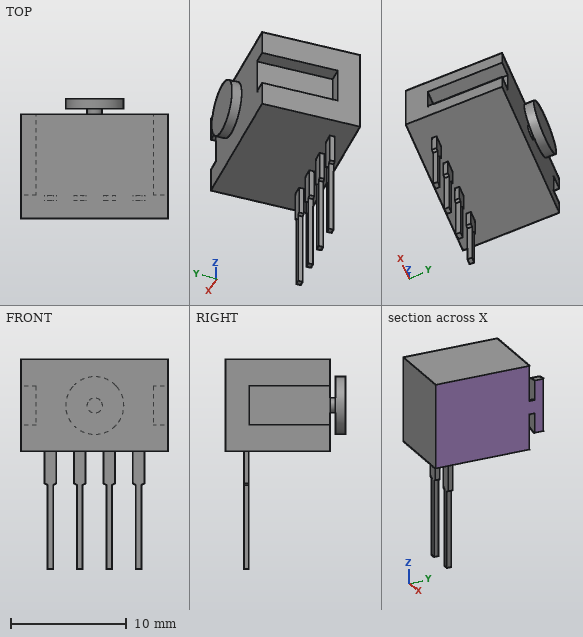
import cadquery as cq

body_width = 12.7
body_depth = 9.03
body_height = 7.98

recess_inset = 1.27
recess_height = 3.34
recess_front = 2.07

total_depth = 10.38
knob_diameter = 5.0
knob_thickness = 0.89
shaft_diameter = 1.3

lead_count = 4
lead_pitch = 2.54
lead_length = 18.14 - body_height
lead_thickness = 0.44
lead_front = 1.6
shoulder_width = 1.02
shoulder_length = 2.75
tip_width = 0.5
taper_length = 0.15


def make_housing():
    housing = cq.Workplane("XY").box(body_width, body_depth, body_height, centered=(True, False, False))
    recess_length = body_depth - recess_front
    for side in (-1, 1):
        cutter = (
            cq.Workplane("XY")
            .box(2 * recess_inset, recess_length, recess_height, centered=(True, False, True))
            .translate((side * body_width / 2, recess_front, body_height / 2))
        )
        housing = housing.cut(cutter)
    return housing


def make_knob():
    back_plane = cq.Workplane("XZ", origin=(0, body_depth, body_height / 2))
    shaft_length = total_depth - body_depth - knob_thickness
    shaft = back_plane.circle(shaft_diameter / 2).extrude(-shaft_length)
    disc = (
        back_plane.workplane(offset=-shaft_length)
        .circle(knob_diameter / 2)
        .extrude(-knob_thickness)
    )
    return shaft.union(disc)


def make_lead(x_center):
    half_shoulder = shoulder_width / 2
    half_tip = tip_width / 2
    taper_end = -shoulder_length - taper_length
    outline = [
        (-half_shoulder, 0),
        (-half_shoulder, -shoulder_length),
        (-half_tip, taper_end),
        (-half_tip, -lead_length),
        (half_tip, -lead_length),
        (half_tip, taper_end),
        (half_shoulder, -shoulder_length),
        (half_shoulder, 0),
    ]
    return (
        cq.Workplane("XZ", origin=(x_center, lead_front, 0))
        .polyline(outline)
        .close()
        .extrude(-lead_thickness)
    )


result = make_housing().union(make_knob())
for index in range(lead_count):
    lead_x = (index - (lead_count - 1) / 2) * lead_pitch
    result = result.union(make_lead(lead_x))